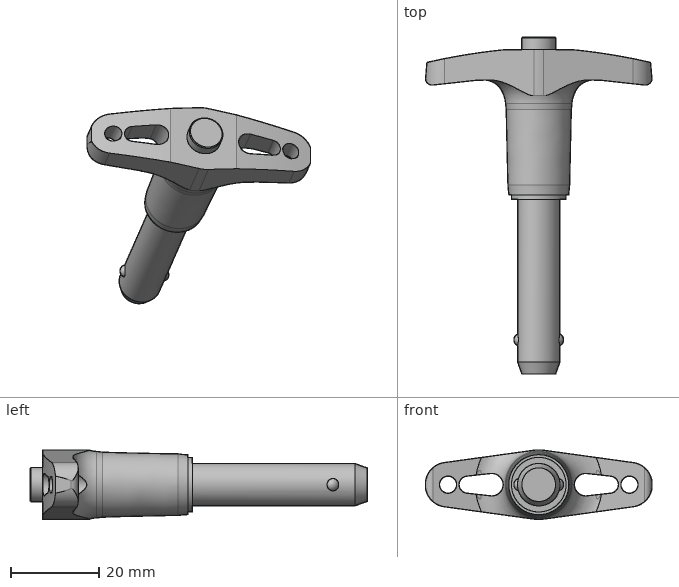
import cadquery as cq
import math


handle_half_span = 25.8
handle_hub_width = 15.85
handle_end_width = 10.2
handle_hub_radius = handle_hub_width / 2
handle_end_radius = handle_end_width / 2
end_center_x = handle_half_span - handle_end_radius
crown_flat_half = 7.65
crown_mid_x = 19.15
crown_mid_y = -1.6
crown_end_x = 25.4
crown_end_y = -2.9
foot_x = 25.9
underside_slope = 0.11
underside_center_y = -5.4
bottom_corner_radius = 1.5

hole_x = 20.6
hole_radius = 1.9
slot_inner_x = 10.65
slot_inner_radius = 2.5
slot_outer_x = 16.15
slot_outer_radius = 1.9

flare_end_y = -12.25
flare_hub_radius = 7.6
flare_mid_radius = 9.3
flare_mid_y = -8.4
flare_core_y = -5.35
flare_rim_radius = 14.4
sleeve_start_y = -13.6
sleeve_start_radius = 7.4
sleeve_end_y = -30.7
sleeve_end_radius = 7.05
collar_end_y = -33.0
collar_radius = 6.8
shoulder_end_y = -34.0
shoulder_radius = 6.2

button_radius = 3.9
button_height = 2.8
button_chamfer = 0.2

shank_radius = 4.8
tip_radius = 3.8
tip_length = 2.75
overall_length = 76.6
tip_y = button_height - overall_length
ball_radius = 1.45
ball_center_x = 4.2
ball_y = -65.9


def tapered_outline(x1, radius1, x2, radius2):
    """Outline in XZ wrapping two circles centred on the X axis, with x1 < x2."""
    tangent_sine = (radius1 - radius2) / (x2 - x1)
    tangent_cosine = math.sqrt(1 - tangent_sine**2)
    left = (x1 + radius1 * tangent_sine, radius1 * tangent_cosine)
    right = (x2 + radius2 * tangent_sine, radius2 * tangent_cosine)
    return (
        cq.Workplane("XZ")
        .moveTo(*left)
        .lineTo(*right)
        .threePointArc((x2 + radius2, 0), (right[0], -right[1]))
        .lineTo(left[0], -left[1])
        .threePointArc((x1 - radius1, 0), left)
        .close()
    )


def handle_plan():
    """Prism along -Y: a round hub tapering to a rounded end on each side."""
    wing = tapered_outline(0, handle_hub_radius, end_center_x, handle_end_radius).extrude(-flare_end_y)
    return wing.union(wing.mirror("YZ"))


def handle_profile():
    """Crowned bar with sloping undersides, extruded across the full handle width."""
    underside_end_y = underside_center_y - underside_slope * foot_x
    bar = (
        cq.Workplane("XY")
        .moveTo(-crown_flat_half, 0)
        .lineTo(crown_flat_half, 0)
        .threePointArc((crown_mid_x, crown_mid_y), (crown_end_x, crown_end_y))
        .lineTo(foot_x, underside_end_y)
        .lineTo(0, underside_center_y)
        .lineTo(-foot_x, underside_end_y)
        .lineTo(-crown_end_x, crown_end_y)
        .threePointArc((-crown_mid_x, crown_mid_y), (-crown_flat_half, 0))
        .close()
        .extrude(handle_hub_radius, both=True)
    )
    return bar.edges("|Z").edges("<Y").fillet(bottom_corner_radius)


def hub_flare():
    """Concave flare from the sleeve out to the underside of the handle."""
    return (
        cq.Workplane("XY")
        .moveTo(0, flare_core_y)
        .lineTo(flare_rim_radius, flare_core_y)
        .lineTo(flare_rim_radius, underside_center_y - underside_slope * flare_rim_radius)
        .threePointArc(
            (flare_mid_radius, flare_mid_y),
            (flare_hub_radius, flare_end_y),
        )
        .lineTo(0, flare_end_y)
        .close()
        .revolve(360, (0, 0, 0), (0, 1, 0))
    )


def turned_body():
    """Button, sleeve, collar, shoulder and shank as one revolved profile."""
    return (
        cq.Workplane("XY")
        .polyline([
            (0, button_height),
            (button_radius - button_chamfer, button_height),
            (button_radius, button_height - button_chamfer),
            (button_radius, flare_end_y),
            (flare_hub_radius, flare_end_y),
            (sleeve_start_radius, sleeve_start_y),
            (sleeve_end_radius, sleeve_end_y),
            (collar_radius, collar_end_y),
            (shoulder_radius, collar_end_y),
            (shoulder_radius, shoulder_end_y),
            (shank_radius, shoulder_end_y),
            (shank_radius, tip_y + tip_length),
            (tip_radius, tip_y),
            (0, tip_y),
        ])
        .close()
        .revolve(360, (0, 0, 0), (0, 1, 0))
    )


def wing_openings():
    """Cord hole and tapered slot through each wing."""
    hole = cq.Workplane("XZ").center(hole_x, 0).circle(hole_radius).extrude(-flare_end_y)
    slot = tapered_outline(slot_inner_x, slot_inner_radius, slot_outer_x, slot_outer_radius)
    openings = hole.union(slot.extrude(-flare_end_y))
    return openings.union(openings.mirror("YZ"))


handle = handle_profile().union(hub_flare()).intersect(handle_plan())
result = handle.cut(wing_openings()).union(turned_body())

for side in (-1, 1):
    ball = cq.Workplane("XY").sphere(ball_radius).translate((side * ball_center_x, ball_y, 0))
    result = result.union(ball)